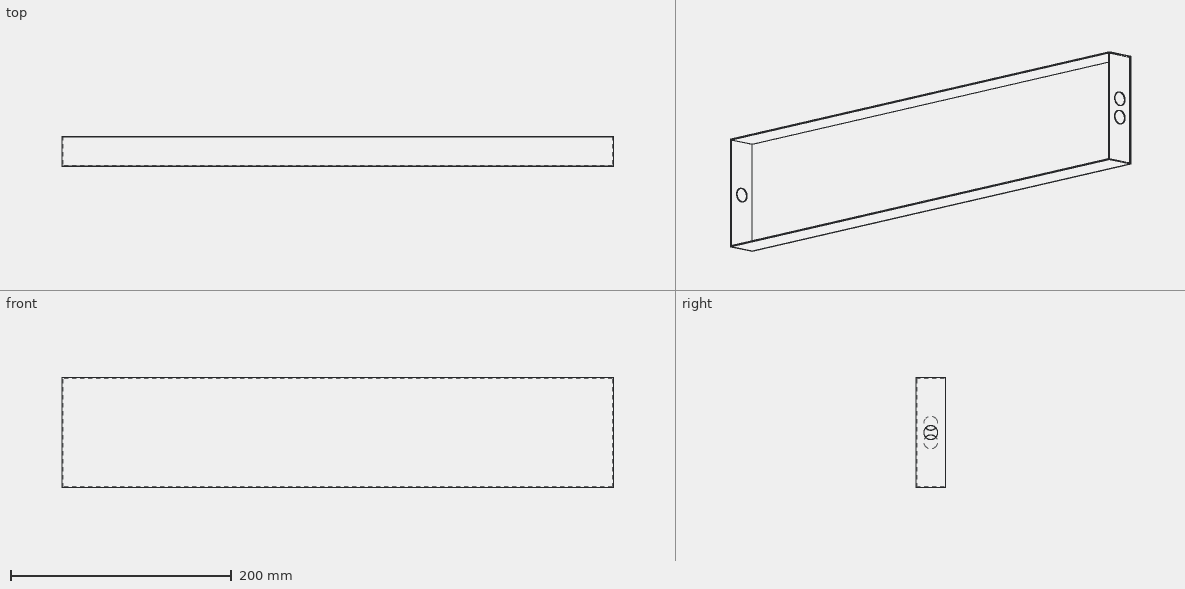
import cadquery as cq

length = 500.0
depth = 27.0
height = 100.0
sheet = 1.0

hole_diameter = 12.5
hole_spacing = 17.0


def end_hole(wall_x, hole_z):
    """Cylinder along X that pierces the end wall whose outer face is at wall_x."""
    return (
        cq.Workplane("YZ", origin=(wall_x, 0, hole_z))
        .circle(hole_diameter / 2)
        .extrude(2 * sheet, both=True)
    )


tray = cq.Workplane("XY").box(length, depth, height).faces(">Y").shell(-sheet)

for side in (-1, 1):
    tray = tray.cut(end_hole(-length / 2, side * hole_spacing / 2))

result = tray.cut(end_hole(length / 2, 0))